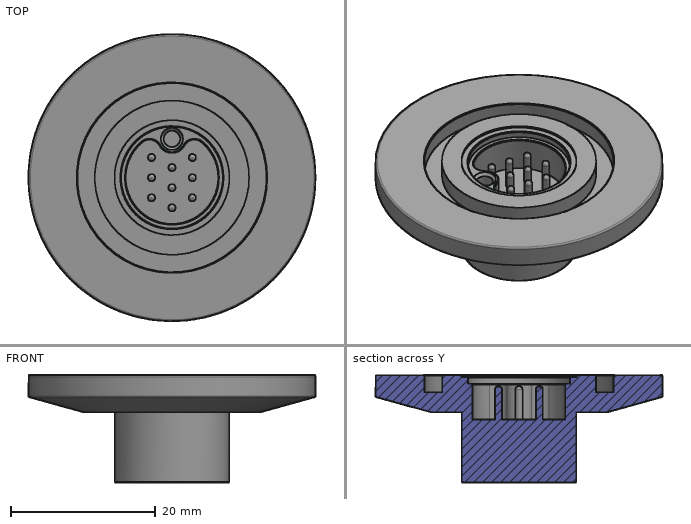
import cadquery as cq
import math

FLANGE_DIAMETER = 39.88
RIM_HEIGHT = 3.07
FLANGE_HEIGHT = 5.22
CONE_END_DIAMETER = 24.4
RIM_FILLET = 0.25

GROOVE_OUTER_DIAMETER = 26.25
GROOVE_INNER_DIAMETER = 21.4
GROOVE_DEPTH = 2.4
GROOVE_CHAMFER = 0.1

TOTAL_HEIGHT = 14.95
SHELL_DIAMETER = 15.95
SHELL_CHAMFER = 0.1
SHELL_RECESS = 0.28

BORE_DIAMETER = 14.1
BORE_CHAMFER = 0.1
INSERT_DEPTH = 1.25

POCKET_RADIUS = 6.42
POCKET_DEPTH = 4.95
POCKET_CHAMFER = 0.1
KEY_Y = 5.4
KEY_RADIUS = 1.95
KEY_BLEND_RADIUS = 1.6

KEY_HOLE_DIAMETER = 2.27
KEY_HOLE_DEPTH = 2.0
KEY_SINK_DIAMETER = 3.07
KEY_SINK_DEPTH = 0.4

PIN_DIAMETER = 1.0
PIN_TOP_DEPTH = 1.6
PIN_PITCH = 2.8
PIN_COLUMN_X = 2.85
PIN_DOME = 0.45
PINS_PER_COLUMN = 3


def cylinder(diameter, top_depth, height):
    """Vertical cylinder on the part axis, starting top_depth below Z = 0."""
    return cq.Workplane("XY").workplane(offset=-top_depth).circle(diameter / 2).extrude(-height)


def make_flange():
    rim_radius = FLANGE_DIAMETER / 2
    profile = [
        (0, 0),
        (rim_radius, 0),
        (rim_radius, -RIM_HEIGHT),
        (CONE_END_DIAMETER / 2, -FLANGE_HEIGHT),
        (0, -FLANGE_HEIGHT),
    ]
    disc = cq.Workplane("XZ").polyline(profile).close().revolve(360, (0, 0, 0), (0, 1, 0))
    rim_edges = disc.edges(cq.selectors.RadiusNthSelector(-1))
    return rim_edges.fillet(RIM_FILLET)


def make_groove():
    ring = cylinder(GROOVE_OUTER_DIAMETER, 0, GROOVE_DEPTH)
    ring = ring.union(edge_break(GROOVE_OUTER_DIAMETER, 0, GROOVE_CHAMFER))
    return ring.cut(cylinder(GROOVE_INNER_DIAMETER, 0, GROOVE_DEPTH))


def edge_break(diameter, top_depth, size):
    """45 degree cone that chamfers the mouth of a round opening."""
    mouth = cq.Workplane("XY").workplane(offset=-top_depth).circle(diameter / 2 + size)
    return mouth.workplane(offset=-size).circle(diameter / 2).loft()


def make_shell():
    shell = cylinder(SHELL_DIAMETER, FLANGE_HEIGHT, TOTAL_HEIGHT - FLANGE_HEIGHT)
    return shell.faces("<Z").chamfer(SHELL_CHAMFER)


def make_bore():
    recess = cylinder(SHELL_DIAMETER, 0, SHELL_RECESS)
    bore = cylinder(BORE_DIAMETER, SHELL_RECESS, INSERT_DEPTH - SHELL_RECESS)
    return recess.union(bore).union(edge_break(BORE_DIAMETER, SHELL_RECESS, BORE_CHAMFER))


def pocket_outline(growth):
    """Pocket outline on the insert face, offset outward by growth."""
    pocket_radius = POCKET_RADIUS + growth
    key_radius = KEY_RADIUS - growth
    blend_radius = KEY_BLEND_RADIUS + growth

    to_axis = pocket_radius - blend_radius
    to_key = key_radius + blend_radius
    blend_y = (to_axis**2 - to_key**2 + KEY_Y**2) / (2 * KEY_Y)
    blend_x = math.sqrt(to_axis**2 - blend_y**2)
    blend_top = blend_y + blend_radius

    rim_x = blend_x * pocket_radius / to_axis
    rim_y = blend_y * pocket_radius / to_axis
    key_x = blend_x * key_radius / to_key
    key_y = KEY_Y + (blend_y - KEY_Y) * key_radius / to_key

    return (
        cq.Workplane("XY")
        .workplane(offset=-INSERT_DEPTH)
        .moveTo(-rim_x, rim_y)
        .threePointArc((0, -pocket_radius), (rim_x, rim_y))
        .threePointArc((blend_x, blend_top), (key_x, key_y))
        .threePointArc((0, KEY_Y - key_radius), (-key_x, key_y))
        .threePointArc((-blend_x, blend_top), (-rim_x, rim_y))
        .close()
    )


def make_pocket():
    pocket = pocket_outline(0).extrude(-POCKET_DEPTH)
    mouth = pocket_outline(POCKET_CHAMFER).extrude(-POCKET_CHAMFER, taper=45)
    return pocket.union(mouth)


def make_key_hole():
    hole = cylinder(KEY_HOLE_DIAMETER, INSERT_DEPTH, KEY_HOLE_DEPTH)
    mouth = cq.Workplane("XY").workplane(offset=-INSERT_DEPTH).circle(KEY_SINK_DIAMETER / 2)
    sink = mouth.workplane(offset=-KEY_SINK_DEPTH).circle(KEY_HOLE_DIAMETER / 2).loft()
    return hole.union(sink).translate((0, KEY_Y, 0))


def make_pins():
    first_row = (PINS_PER_COLUMN - 1) / 2
    positions = []
    for column in (-1, 0, 1):
        drop = PIN_PITCH / 2 if column == 0 else 0
        for row in range(PINS_PER_COLUMN):
            positions.append((column * PIN_COLUMN_X, (first_row - row) * PIN_PITCH - drop))
    height = INSERT_DEPTH + POCKET_DEPTH - PIN_TOP_DEPTH
    plane = cq.Workplane("XY").workplane(offset=-PIN_TOP_DEPTH)
    pins = plane.pushPoints(positions).circle(PIN_DIAMETER / 2).extrude(-height)
    return pins.faces(">Z").edges().fillet(PIN_DOME)


body = make_flange().union(make_shell())
body = body.cut(make_groove()).cut(make_bore())
body = body.cut(make_pocket()).cut(make_key_hole())
result = body.union(make_pins())